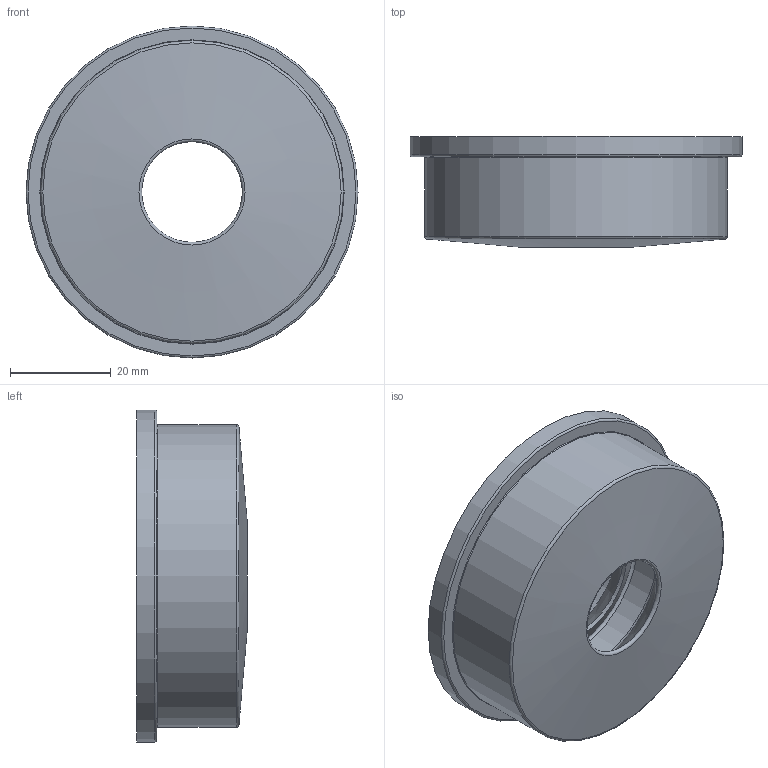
import math

import cadquery as cq

total_depth = 22.0

flange_radius = 33.0
flange_thickness = 4.0
body_radius = 30.1
body_edge_round = 0.5
flange_edge_round = 0.4
flange_foot_round = 0.15
front_cone_angle = 5.0

throat_radius = 10.0
throat_round = 0.5
seat_radius = 36.01 / 2
seat_front_round = 1.0
shoulder_round = 0.5
front_seat_start = 8.5
front_seat_end = 14.0
web_cone_angle = 30.0
web_hole_radius = 12.5
web_hole_length = 0.9
rear_seat_start = 18.7


def along(start, angle, distance):
    """Point at a distance from start; the angle is measured from the outward radial direction."""
    direction = math.radians(angle)
    return (start[0] + distance * math.cos(direction), start[1] + distance * math.sin(direction))


def add_round(profile, center, radius, start_angle, end_angle):
    """Continue the profile to a round and follow it from start_angle to end_angle."""
    middle_angle = (start_angle + end_angle) / 2
    return profile.lineTo(*along(center, start_angle, radius)).threePointArc(
        along(center, middle_angle, radius),
        along(center, end_angle, radius),
    )


throat_center = (throat_radius + throat_round, throat_round)

front_slope = math.tan(math.radians(front_cone_angle))
body_edge_radius = body_radius - body_edge_round
body_edge_center = (
    body_edge_radius,
    body_edge_round + front_slope * (body_edge_radius - throat_center[0]),
)

flange_front = total_depth - flange_thickness
flange_edge_center = (flange_radius - flange_edge_round, flange_front + flange_edge_round)
flange_foot_center = (body_radius + flange_foot_round, flange_front - flange_foot_round)

shoulder_center = (seat_radius - shoulder_round, front_seat_end)

entry_center = (seat_radius - seat_front_round, front_seat_start)

entry_run = entry_center[0] - throat_center[0]
entry_rise = entry_center[1] - throat_center[1]
entry_cone_angle = math.degrees(
    math.atan2(entry_rise, entry_run)
    - math.asin((throat_round + seat_front_round) / math.hypot(entry_run, entry_rise))
)

web_angle = math.radians(web_cone_angle)
web_front_depth = (
    shoulder_center[1]
    + shoulder_round / math.cos(web_angle)
    - (shoulder_center[0] - web_hole_radius) * math.tan(web_angle)
)
web_back_depth = web_front_depth + web_hole_length


def make_profile():
    """Closed half section: X is the radius and Y is the depth."""
    profile = cq.Workplane("XY").moveTo(*along(throat_center, front_cone_angle - 90, throat_round))
    profile = add_round(profile, body_edge_center, body_edge_round, front_cone_angle - 90, 0)
    profile = add_round(profile, flange_foot_center, flange_foot_round, 180, 90)
    profile = add_round(profile, flange_edge_center, flange_edge_round, -90, 0)
    profile = profile.lineTo(flange_radius, total_depth)
    profile = profile.lineTo(seat_radius, total_depth)
    profile = profile.lineTo(seat_radius, rear_seat_start)
    profile = profile.lineTo(web_hole_radius, web_back_depth)
    profile = profile.lineTo(web_hole_radius, web_front_depth)
    profile = add_round(profile, shoulder_center, shoulder_round, 90 + web_cone_angle, 0)
    profile = add_round(profile, entry_center, seat_front_round, 0, entry_cone_angle - 90)
    profile = add_round(
        profile, throat_center, throat_round, 90 + entry_cone_angle, 270 + front_cone_angle
    )
    return profile.close()


result = make_profile().revolve(360, (0, 0, 0), (0, 1, 0))